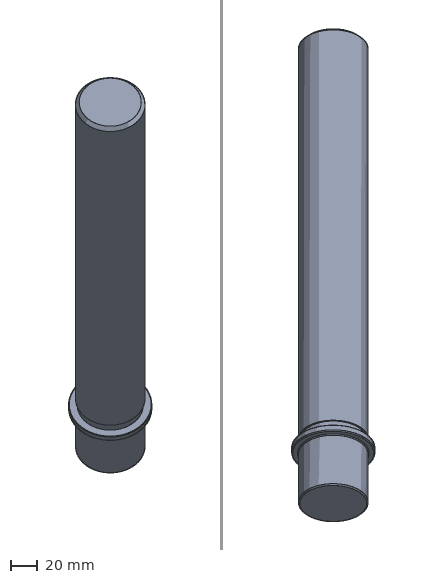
import cadquery as cq

total_height = 405.0
body_radius = 26.0
flange_diameter = 62.0

flange_bottom = 44.5
flange_top = 50.0
groove_top = 57.0

groove_depth = 1.2
top_chamfer = 3.0
bottom_chamfer = 1.0
flange_top_chamfer = 0.5
flange_bottom_chamfer = 1.0
neck_chamfer = 1.0

flange_radius = flange_diameter / 2
groove_radius = body_radius - groove_depth

profile = (
    cq.Workplane("XZ")
    .moveTo(0, 0)
    .lineTo(body_radius - bottom_chamfer, 0)
    .lineTo(body_radius, bottom_chamfer)
    .lineTo(body_radius, flange_bottom - neck_chamfer)
    .lineTo(body_radius + neck_chamfer, flange_bottom)
    .lineTo(flange_radius - flange_bottom_chamfer, flange_bottom)
    .lineTo(flange_radius, flange_bottom + flange_bottom_chamfer)
    .lineTo(flange_radius, flange_top - flange_top_chamfer)
    .lineTo(flange_radius - flange_top_chamfer, flange_top)
    .lineTo(groove_radius, flange_top)
    .lineTo(groove_radius, groove_top)
    .lineTo(body_radius, groove_top)
    .lineTo(body_radius, total_height - top_chamfer)
    .lineTo(body_radius - top_chamfer, total_height)
    .lineTo(0, total_height)
    .close()
)

result = profile.revolve(360, (0, 0, 0), (0, 1, 0))